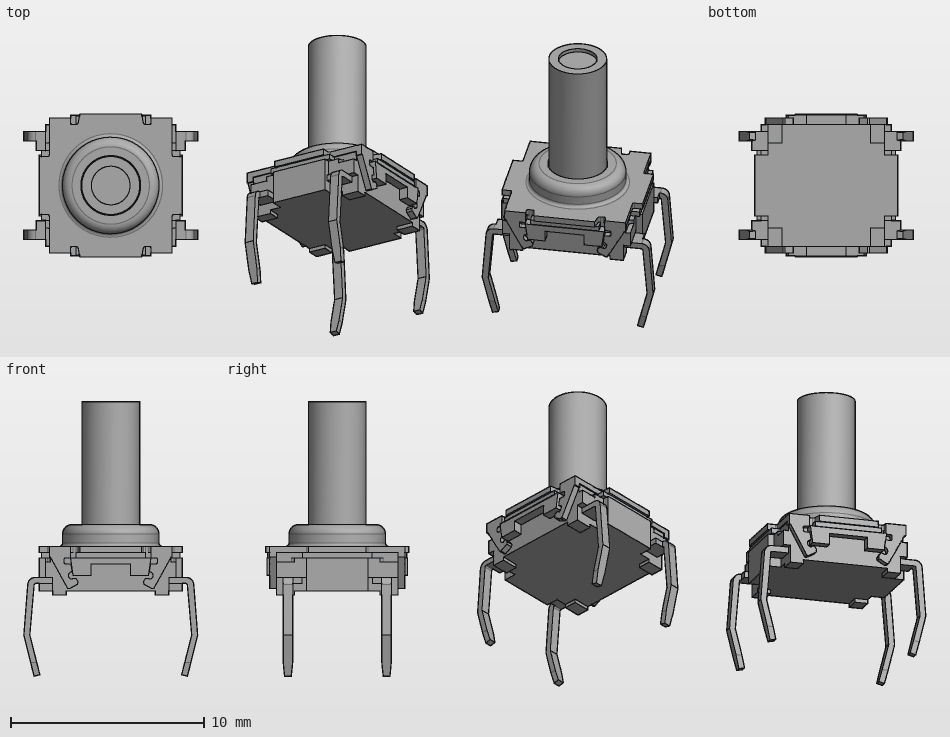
import cadquery as cq
import math


plunger_top = 10.0
dome_top = 3.65
cover_top = 2.52
cover_bottom = 2.2
frame_bottom = 1.93
shelf_low = 1.7
lead_top = 0.92
base_bottom = 0.2
pin_kink_z = -2.07
pin_tip_z = -4.2

plunger_diameter = 3.0
plunger_recess_diameter = 2.0
plunger_recess_depth = 0.2
dome_hole_diameter = 3.1
dome_diameter = 5.0
dome_edge_radius = 0.5
dome_root_radius = 0.18

cover_width = 7.4
cover_half = cover_width / 2
corner_half_x = 3.18
corner_half_y = 3.5
wing_half_x = 1.6
wing_half_y = 1.49
wing_root_fillet = 0.09
notch_outer_x = 2.08
notch_root_x = 1.7
notch_root_radius = 0.12

clip_thickness = 0.35
clip_back_y = corner_half_y - clip_thickness
notch_root_y = clip_back_y
clip_shoulder_x = 3.12
clip_shoulder_z = 1.96

clip_heel = (2.23, 0.35)
clip_bottom = (2.14, 0.33)
clip_toe = (1.72, 0.56)
clip_toe_top = (1.69, 0.69)
clip_hook_inner = (1.80, 0.87)
clip_hook_outer = (1.93, 0.87)
clip_relief_start = (2.01, 0.82)
clip_relief_middle = (2.18, 1.06)
clip_relief_end = (2.0, 1.21)
clip_window_corner = (2.06, 1.61)

clip_window_depth = 0.33
clip_window_height = 0.32
clip_window_radius = 0.08

frame_half_x = 3.59
frame_half_y = 3.6
frame_arm_half = 1.8
core_half_x = 3.12

base_half_x = 3.37
base_half_y = clip_back_y
shelf_step_y = 2.2
shelf_step_fillet = 0.16
lower_half_x = 3.0
block_half_y = 1.58
lug_face_y = 3.64
lug_top_half = notch_outer_x
lug_bottom_half = 1.95
lug_bottom_z = 1.02
lug_opening_half = 1.03
lug_opening_top = 1.61
foot_length_x = 0.7
foot_length_y = base_half_y - shelf_step_y

lead_pitch = 5.1
lead_thickness = 0.32
pin_width = 0.5
pin_tip_width = 0.36
pin_taper_length = 0.72
pin_shoulder_x = 4.27
pin_kink_x = 4.5
pin_tip_x = 3.97
lead_bend_radius = 0.4
lead_inner_radius = 0.08
tab_end_x = 3.86
tab_inner_y = 1.81
lead_embed = 0.2


def slab(half_x, half_y, bottom, top):
    """Box centred on the Z axis."""
    return cq.Workplane("XY").workplane(offset=bottom).rect(2 * half_x, 2 * half_y).extrude(top - bottom)


def box_between(x_range, y_range, z_range):
    """Box spanning the given (low, high) pairs."""
    sizes = [high - low for low, high in (x_range, y_range, z_range)]
    corner = (x_range[0], y_range[0], z_range[0])
    return cq.Workplane("XY").box(*sizes, centered=False).translate(corner)


def front_prism(outline, y_low, y_high):
    """Closed XZ outline extruded from y_low to y_high."""
    return outline.extrude(-(y_high - y_low)).translate((0, y_low, 0))


def at_four_corners(shape):
    """Union of a shape in the +X +Y quadrant with its three mirror images."""
    pair = shape.union(shape.mirror("YZ"))
    return pair.union(pair.mirror("XZ"))


def make_plunger_and_dome():
    """Revolved dome with a clearance hole round the recessed plunger."""
    dome_radius = dome_diameter / 2
    diagonal = math.sqrt(0.5)
    edge_x = dome_radius - dome_edge_radius
    edge_z = dome_top - dome_edge_radius
    root_x = dome_radius + dome_root_radius
    root_z = cover_top + dome_root_radius
    root_middle = (root_x - dome_root_radius * diagonal, root_z - dome_root_radius * diagonal)
    edge_middle = (edge_x + dome_edge_radius * diagonal, edge_z + dome_edge_radius * diagonal)
    dome = (
        cq.Workplane("XZ")
        .moveTo(0, cover_bottom)
        .lineTo(root_x, cover_bottom)
        .lineTo(root_x, cover_top)
        .threePointArc(root_middle, (dome_radius, root_z))
        .lineTo(dome_radius, edge_z)
        .threePointArc(edge_middle, (edge_x, dome_top))
        .lineTo(0, dome_top)
        .close()
        .revolve(360, (0, 0, 0), (0, 1, 0))
    )
    hole = cq.Workplane("XY").workplane(offset=cover_top).circle(dome_hole_diameter / 2)
    plunger = cq.Workplane("XY").workplane(offset=cover_bottom).circle(plunger_diameter / 2)
    recess = cq.Workplane("XY").workplane(offset=plunger_top).circle(plunger_recess_diameter / 2)
    return (
        dome.cut(hole.extrude(dome_top - cover_top))
        .union(plunger.extrude(plunger_top - cover_bottom))
        .cut(recess.extrude(-plunger_recess_depth))
    )


def make_cover():
    """Cross-shaped plate with a relief notch beside each Y wing."""
    corners = slab(corner_half_x, corner_half_y, cover_bottom, cover_top)
    wings_x = slab(cover_half, wing_half_y, cover_bottom, cover_top)
    reach_x = corner_half_x + wing_root_fillet
    reach_y = wing_half_y + wing_root_fillet
    wing_roots = cq.selectors.BoxSelector(
        (-reach_x, -reach_y, cover_bottom),
        (reach_x, reach_y, cover_top),
    )
    cover = corners.union(wings_x).edges("|Z").edges(wing_roots).fillet(wing_root_fillet)
    cover = cover.union(slab(wing_half_x, cover_half, cover_bottom, cover_top))
    flank = (
        cq.Workplane("XY")
        .workplane(offset=cover_bottom)
        .moveTo(0, notch_root_y)
        .lineTo(notch_root_x, notch_root_y)
        .lineTo(wing_half_x, cover_half)
        .lineTo(0, cover_half)
        .close()
        .extrude(cover_top - cover_bottom)
    )
    notch = (
        box_between((wing_half_x, notch_outer_x), (notch_root_y, cover_half), (cover_bottom, cover_top))
        .cut(flank)
        .edges("|Z and <Y")
        .fillet(notch_root_radius)
    )
    return cover.union(at_four_corners(flank)).cut(at_four_corners(notch))


def make_clip():
    """Hooked leg folded down from one corner of the cover."""
    leg = (
        cq.Workplane("XZ")
        .moveTo(corner_half_x, cover_top)
        .lineTo(corner_half_x, clip_shoulder_z)
        .lineTo(clip_shoulder_x, clip_shoulder_z)
        .lineTo(*clip_heel)
        .lineTo(*clip_bottom)
        .lineTo(*clip_toe)
        .lineTo(*clip_toe_top)
        .lineTo(*clip_hook_inner)
        .lineTo(*clip_hook_outer)
        .lineTo(*clip_relief_start)
        .threePointArc(clip_relief_middle, clip_relief_end)
        .lineTo(*clip_window_corner)
        .lineTo(notch_outer_x, frame_bottom)
        .lineTo(notch_outer_x, cover_top)
        .close()
    )
    window = box_between(
        (notch_outer_x - clip_window_depth, notch_outer_x + clip_window_depth),
        (clip_back_y, corner_half_y),
        (frame_bottom - clip_window_height, frame_bottom),
    )
    window = window.edges("|Y and >X").fillet(clip_window_radius)
    return front_prism(leg, clip_back_y, corner_half_y).cut(window)


def make_frame():
    """Core and cross-shaped layer directly under the cover."""
    core = slab(core_half_x, base_half_y, shelf_low, cover_bottom)
    arms_x = slab(frame_half_x, frame_arm_half, frame_bottom, cover_bottom)
    arms_y = slab(frame_arm_half, frame_half_y, frame_bottom, cover_bottom)
    return core.union(arms_x).union(arms_y)


def make_side_lugs():
    """Tapered lug on each Y face, open at the bottom middle."""
    lug = (
        cq.Workplane("XZ")
        .moveTo(lug_top_half, frame_bottom)
        .lineTo(lug_bottom_half, lug_bottom_z)
        .lineTo(lug_opening_half, lug_bottom_z)
        .lineTo(lug_opening_half, lug_opening_top)
        .lineTo(0, lug_opening_top)
        .lineTo(0, frame_bottom)
        .close()
    )
    return at_four_corners(front_prism(lug, 0, lug_face_y))


def make_base():
    """Stepped housing that overhangs the leads and stands on four feet."""
    lower = slab(lower_half_x, base_half_y, base_bottom, lead_top)
    upper = slab(base_half_x, base_half_y, lead_top, shelf_low)
    shelf = slab(base_half_x, shelf_step_y, shelf_low, frame_bottom)
    step_fillet = (
        cq.Workplane("XY")
        .workplane(offset=shelf_low)
        .moveTo(core_half_x, shelf_step_y)
        .lineTo(core_half_x + shelf_step_fillet, shelf_step_y)
        .radiusArc((core_half_x, shelf_step_y + shelf_step_fillet), shelf_step_fillet)
        .close()
        .extrude(frame_bottom - shelf_low)
    )
    block = slab(cover_half, block_half_y, base_bottom, frame_bottom)
    foot = box_between(
        (lower_half_x - foot_length_x, lower_half_x),
        (base_half_y - foot_length_y, base_half_y),
        (0, lead_top),
    )
    corner_details = at_four_corners(foot).union(at_four_corners(step_fillet))
    return lower.union(upper).union(shelf).union(block).union(corner_details)


def make_lead():
    """Flat tab, bent down into a kinked snap-in pin with a tapered tip."""
    pin_y = lead_pitch / 2
    tab_outer_y = pin_y + pin_width / 2
    lead_bottom = lead_top - lead_thickness
    start_x = lower_half_x - lead_embed
    tip_angle = math.atan2(pin_kink_x - pin_tip_x, pin_kink_z - pin_tip_z)
    tip_inner_x = pin_tip_x - lead_thickness * math.cos(tip_angle)
    tip_inner_z = pin_tip_z + lead_thickness * math.sin(tip_angle)
    profile = (
        cq.Workplane("XZ")
        .moveTo(start_x, lead_top)
        .lineTo(pin_shoulder_x, lead_top)
        .lineTo(pin_kink_x, pin_kink_z)
        .lineTo(pin_tip_x, pin_tip_z)
        .lineTo(tip_inner_x, tip_inner_z)
        .lineTo(pin_kink_x - lead_thickness, pin_kink_z)
        .lineTo(pin_shoulder_x - lead_thickness, lead_bottom)
        .lineTo(start_x, lead_bottom)
        .close()
    )
    pin = front_prism(profile, pin_y - pin_width / 2, tab_outer_y)
    outer_corner = cq.selectors.NearestToPointSelector((pin_shoulder_x, pin_y, lead_top))
    inner_corner = cq.selectors.NearestToPointSelector((pin_shoulder_x - lead_thickness, pin_y, lead_bottom))
    pin = pin.edges("|Y").edges(outer_corner).fillet(lead_bend_radius)
    pin = pin.edges("|Y").edges(inner_corner).fillet(lead_inner_radius)
    taper_z = pin_tip_z + pin_taper_length
    for side in (1, -1):
        side_cut = (
            cq.Workplane("YZ")
            .polyline([
                (pin_y + side * pin_width / 2, taper_z),
                (pin_y + side * pin_width, pin_tip_z),
                (pin_y + side * pin_tip_width / 2, pin_tip_z),
            ])
            .close()
            .extrude(pin_kink_x)
        )
        pin = pin.cut(side_cut)
    tab = box_between((start_x, tab_end_x), (tab_inner_y, tab_outer_y), (lead_bottom, lead_top))
    return pin.union(tab)


result = (
    make_base()
    .union(make_side_lugs())
    .union(make_frame())
    .union(make_cover())
    .union(at_four_corners(make_clip()))
    .union(make_plunger_and_dome())
    .union(at_four_corners(make_lead()))
)